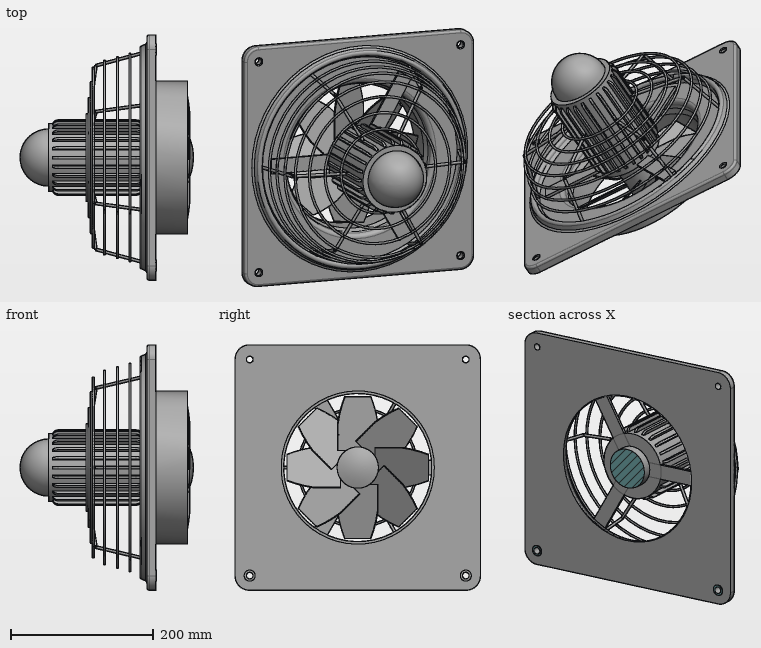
import cadquery as cq
import math


PLATE_SIDE = 345.0
PLATE_THICKNESS = 12.8
PLATE_CORNER_RADIUS = 20.5
PLATE_EDGE_FILLET = 3.5
HOLE_OFFSET = 151.8
HOLE_DIAMETER = 9.0
COUNTERSINK_DIAMETER = 11.7
COUNTERSINK_ANGLE = 90
COLLAR_DIAMETER = 15.5
COLLAR_HEIGHT = 1.0

RIM_BASE_RADIUS = 162.5
RIM_FOOT_RADIUS = 159.5
RIM_SHOULDER_RADIUS = 157.0
RIM_CREST_RADIUS = 153.5
RIM_LIP_RADIUS = 149.0
FLOOR_RADIUS = 146.3
RIM_FOOT_X = -14.5
RIM_SHOULDER_X = -20.5
RIM_CREST_X = -22.8
RIM_LIP_X = -18.0
FLOOR_X = -PLATE_THICKNESS
INLET_RADIUS = 115.0
THROAT_X = -6.0
THROAT_RADIUS = 108.5
BORE_START_X = 7.2
DUCT_BORE_RADIUS = 104.0
DUCT_OUTER_RADIUS = 107.5
DUCT_END_X = 44.5

MOTOR_RADIUS = 48.0
MOTOR_FRONT_X = -150.8
MOTOR_BACK_X = FLOOR_X
DOME_RADIUS = 40.5
FIN_COUNT = 24
FIN_THICKNESS = 3.5
FIN_INNER_RADIUS = 43.8
FIN_OUTER_RADIUS = 53.0
FIN_FRONT_X = -146.0
FIN_BACK_X = -19.3
FIN_END_RADIUS = 8.5

STRUT_COUNT = 3
STRUT_WIDTH = 21.0
STRUT_THICKNESS = 4.0
STRUT_OUTER_RADIUS = 134.5

HUB_RADIUS = 29.0
HUB_SHOULDER_X = 47.0
HUB_TIP_X = 52.8
BLADE_COUNT = 8
BLADE_PITCH_ANGLE = 31.0
BLADE_THICKNESS = 2.0
BLADE_CENTRE_X = 30.0
BLADE_ROOT_RADIUS = 24.0
BLADE_SHOULDER_RADIUS = 62.0
BLADE_MID_RADIUS = 81.0
BLADE_TIP_RADIUS = 99.7
BLADE_ROOT_WIDTH = 56.0
BLADE_MID_WIDTH = 48.3
BLADE_TIP_WIDTH = 36.2

SPOKE_COUNT = 6
SPOKE_RADIUS = 2.0
RING_WIRE_RADIUS = 1.55
RING_OFFSET = 3.0
SPOKE_FOOT = (-12.0, 148.7)
SPOKE_BEND = (-84.5, 129.0)
SPOKE_HEAD = (-96.0, 45.0)
FRONT_RING_RADII = (60.5, 83.0, 105.5, 126.0)
SIDE_RING_X = (-72.5, -54.0, -36.5)


def revolve_about_x(profile):
    return profile.close().revolve(360, (0, 0, 0), (1, 0, 0))


def around_x(shape, count):
    """Copies of a shape spaced evenly around the fan axis."""
    return [shape.rotate((0, 0, 0), (1, 0, 0), i * 360 / count) for i in range(count)]


def join(body, shapes):
    return cq.Workplane(body.val().fuse(*[shape.val() for shape in shapes]))


def wall_plate():
    plate = (
        cq.Workplane("YZ")
        .rect(PLATE_SIDE, PLATE_SIDE)
        .extrude(-PLATE_THICKNESS)
        .edges("|X")
        .fillet(PLATE_CORNER_RADIUS)
        .faces("<X")
        .edges()
        .fillet(PLATE_EDGE_FILLET)
    )
    lower_holes = [(-HOLE_OFFSET, -HOLE_OFFSET), (HOLE_OFFSET, -HOLE_OFFSET)]
    collars = cq.Workplane("YZ").pushPoints(lower_holes).circle(COLLAR_DIAMETER / 2).extrude(COLLAR_HEIGHT)
    opening = cq.Workplane("YZ").circle(RIM_SHOULDER_RADIUS).extrude(-PLATE_THICKNESS)
    return (
        plate.union(collars)
        .faces("<X")
        .workplane(origin=(-PLATE_THICKNESS, 0, 0))
        .rect(2 * HOLE_OFFSET, 2 * HOLE_OFFSET, forConstruction=True)
        .vertices()
        .cskHole(HOLE_DIAMETER, COUNTERSINK_DIAMETER, COUNTERSINK_ANGLE)
        .cut(opening)
    )


def rim_and_duct():
    """The floor rounds into a conical throat that narrows to the duct bore."""
    profile = (
        cq.Workplane("XY")
        .moveTo(DUCT_END_X, DUCT_BORE_RADIUS)
        .lineTo(DUCT_END_X, DUCT_OUTER_RADIUS)
        .lineTo(0, DUCT_OUTER_RADIUS)
        .lineTo(0, RIM_BASE_RADIUS)
        .lineTo(FLOOR_X, RIM_BASE_RADIUS)
        .lineTo(RIM_FOOT_X, RIM_FOOT_RADIUS)
        .lineTo(RIM_SHOULDER_X, RIM_SHOULDER_RADIUS)
        .threePointArc((RIM_CREST_X, RIM_CREST_RADIUS), (RIM_LIP_X, RIM_LIP_RADIUS))
        .lineTo(FLOOR_X, FLOOR_RADIUS)
        .lineTo(FLOOR_X, INLET_RADIUS)
        .tangentArcPoint((THROAT_X, THROAT_RADIUS), relative=False)
        .lineTo(BORE_START_X, DUCT_BORE_RADIUS)
    )
    return revolve_about_x(profile)


def motor():
    dome_drop = DOME_RADIUS * math.sqrt(0.5)
    profile = (
        cq.Workplane("XY")
        .moveTo(MOTOR_FRONT_X - DOME_RADIUS, 0)
        .threePointArc((MOTOR_FRONT_X - dome_drop, dome_drop), (MOTOR_FRONT_X, DOME_RADIUS))
        .lineTo(MOTOR_FRONT_X, MOTOR_RADIUS)
        .lineTo(MOTOR_BACK_X, MOTOR_RADIUS)
        .lineTo(MOTOR_BACK_X, 0)
    )
    fin = (
        cq.Workplane("XY")
        .moveTo(FIN_FRONT_X, FIN_INNER_RADIUS)
        .lineTo(FIN_FRONT_X, FIN_OUTER_RADIUS)
        .lineTo(FIN_BACK_X, FIN_OUTER_RADIUS)
        .lineTo(FIN_BACK_X, FIN_INNER_RADIUS)
        .close()
        .extrude(FIN_THICKNESS / 2, both=True)
        .edges("|Z and >Y")
        .fillet(FIN_END_RADIUS)
    )
    return join(revolve_about_x(profile), around_x(fin, FIN_COUNT))


def strut():
    """Flat bar from the motor's back end, lying on the floor inside the rim."""
    return (
        cq.Workplane("YZ", origin=(FLOOR_X, 0, 0))
        .rect(STRUT_OUTER_RADIUS, STRUT_WIDTH)
        .extrude(-STRUT_THICKNESS)
        .translate((0, STRUT_OUTER_RADIUS / 2, 0))
    )


def hub():
    tip_rise = HUB_TIP_X - HUB_SHOULDER_X
    cap_radius = (HUB_RADIUS**2 + tip_rise**2) / (2 * tip_rise)
    mid_radius = HUB_RADIUS / 2
    mid_x = HUB_TIP_X - cap_radius + math.sqrt(cap_radius**2 - mid_radius**2)
    profile = (
        cq.Workplane("XY")
        .moveTo(MOTOR_BACK_X, 0)
        .lineTo(MOTOR_BACK_X, HUB_RADIUS)
        .lineTo(HUB_SHOULDER_X, HUB_RADIUS)
        .threePointArc((mid_x, mid_radius), (HUB_TIP_X, 0))
    )
    return revolve_about_x(profile)


def blade():
    """Flat blade along +Y, pitched about its own radial axis; widths are as seen along X."""
    stretch = 1 / math.cos(math.radians(BLADE_PITCH_ANGLE))
    half_root = BLADE_ROOT_WIDTH * stretch / 2
    half_mid = BLADE_MID_WIDTH * stretch / 2
    half_tip = BLADE_TIP_WIDTH * stretch / 2
    return (
        cq.Workplane("YZ")
        .moveTo(BLADE_ROOT_RADIUS, -half_root)
        .lineTo(BLADE_SHOULDER_RADIUS, -half_root)
        .threePointArc((BLADE_MID_RADIUS, -half_mid), (BLADE_TIP_RADIUS, -half_tip))
        .lineTo(BLADE_TIP_RADIUS, half_tip)
        .threePointArc((BLADE_MID_RADIUS, half_mid), (BLADE_SHOULDER_RADIUS, half_root))
        .lineTo(BLADE_ROOT_RADIUS, half_root)
        .close()
        .extrude(BLADE_THICKNESS / 2, both=True)
        .rotate((0, 0, 0), (0, 1, 0), BLADE_PITCH_ANGLE)
        .translate((BLADE_CENTRE_X, 0, 0))
    )


def spoke():
    slope = (SPOKE_BEND[1] - SPOKE_FOOT[1]) / (SPOKE_BEND[0] - SPOKE_FOOT[0])
    start = cq.Plane(origin=(*SPOKE_FOOT, 0), xDir=(0, 0, 1), normal=(-1, -slope, 0))
    path = cq.Workplane("XY").polyline([SPOKE_FOOT, SPOKE_BEND, SPOKE_HEAD])
    return cq.Workplane(start).circle(SPOKE_RADIUS).sweep(path, transition="round")


def ring(x, radius):
    torus = cq.Solid.makeTorus(radius, RING_WIRE_RADIUS, cq.Vector(x, 0, 0), cq.Vector(1, 0, 0))
    return cq.Workplane(torus)


def guard_rings():
    """Rings seated on the outside of the spokes."""
    front_slope = (SPOKE_HEAD[0] - SPOKE_BEND[0]) / (SPOKE_HEAD[1] - SPOKE_BEND[1])
    side_slope = (SPOKE_FOOT[1] - SPOKE_BEND[1]) / (SPOKE_FOOT[0] - SPOKE_BEND[0])
    rings = []
    for radius in FRONT_RING_RADII:
        spoke_x = SPOKE_BEND[0] + front_slope * (radius - SPOKE_BEND[1])
        rings.append(ring(spoke_x - RING_OFFSET, radius))
    for x in SIDE_RING_X:
        spoke_radius = SPOKE_BEND[1] + side_slope * (x - SPOKE_BEND[0])
        rings.append(ring(x, spoke_radius + RING_OFFSET))
    return rings


details = (
    around_x(strut(), STRUT_COUNT)
    + around_x(blade(), BLADE_COUNT)
    + around_x(spoke(), SPOKE_COUNT)
    + guard_rings()
)
body = wall_plate().union(rim_and_duct()).union(motor()).union(hub())
result = join(body, details)